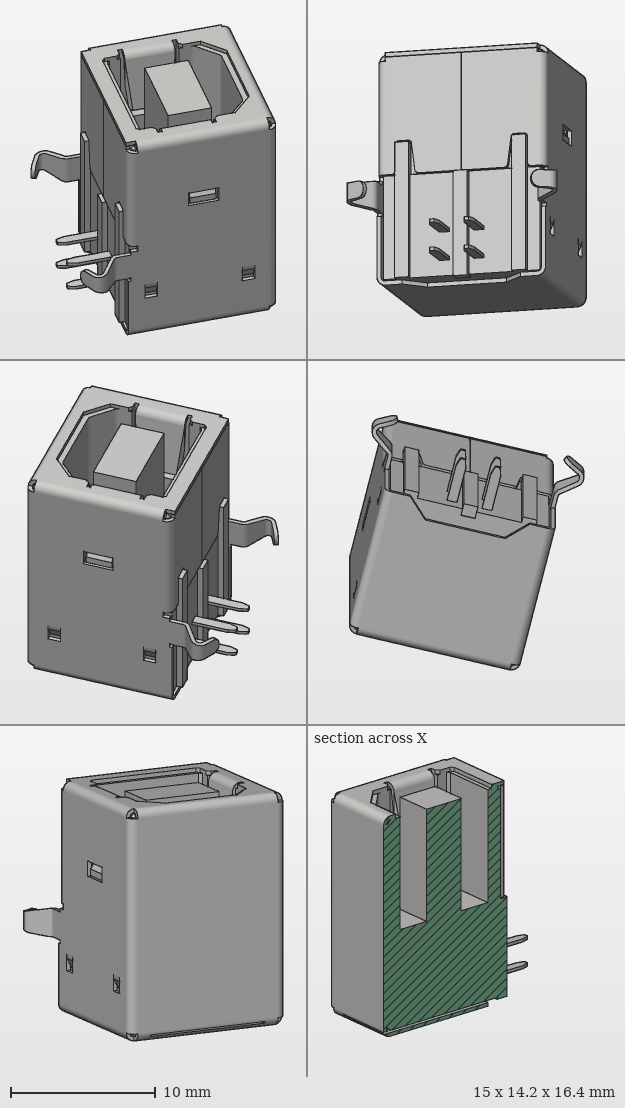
import cadquery as cq
import math


shell_width = 12.1
shell_depth = 10.75
shell_height = 16.45
sheet = 0.3
bend_radius = 0.6
half_width = shell_width / 2
inner_half_width = half_width - sheet
inner_top = shell_height - sheet
front_plate_bottom = 7.8
plate_gap = 0.03

rib_notch_top = 10.15
rib_notch_outer = 4.75
rib_notch_inner_top = 3.6
rib_notch_inner_bottom = 3.3
rib_notch_radius = 0.25

opening_half_width = 4.25
opening_front = 1.13
opening_back = 9.67
opening_back_half_width = 2.73
opening_shoulder = 8.22
opening_corner = 0.2
spring_slot_half_width = 4.9
spring_slot_front = 2.47
spring_slot_back = 6.67
spring_slot_chamfer = 0.25

spring_front = 2.78
spring_back = 6.38
spring_bend_x = 4.77
spring_tip_x = 3.6
spring_tip_z = 12.0
spring_tip_inset_y = 0.4

housing_chamfer = 0.3
housing_bottom = 0.43
housing_step_top = 7.75
housing_step_front = 0.15
lower_half_width = 5.63
cavity_floor = housing_step_top
cavity_front = 1.47
cavity_back = 9.25
cavity_shoulder = 7.75
cavity_back_half_width = 2.67
cavity_radius = 0.4
spring_pocket_floor = 11.0
tongue_width = 5.68
tongue_front = 3.8
tongue_back = 6.93
tongue_top = 16.1

rib_width = 1.0
rib_front = -0.27
rib_root = 0.6
outer_rib_x = 4.2
outer_rib_top = 10.0

catch_front = 4.33
catch_back = 6.5
catch_bottom = 10.53
catch_top = 11.6
catch_slope_start = 11.05
catch_rise = 0.15
catch_depth = 0.25
catch_margin = 0.14
catch_clearance = 0.05
snap_bottom = 3.2
snap_top = 4.35
snap_tip_gap = 0.15
snap_inset = 0.4
snap_bend_inset = 0.04
snap_bend_z = 4.05
snap_width = 0.9
snap_centres_y = (1.65, 8.65)

clip_centre_z = 6.14
clip_root_half = 1.0
clip_end_half = 0.69
clip_taper_start = -1.1
clip_taper_end = -2.25
clip_tip_half = 0.6
clip_tip_start = -2.9
clip_tip_radius = 0.55
clip_tip_y = -3.45
clip_reach = 7.5
clip_bend_y = -0.8
clip_out_angle = 54
clip_back_angle = 28
clip_relief_depth = 0.2
clip_relief_height = 0.25
corner_notch_top = front_plate_bottom
corner_notch_depth = 0.68

pin_width = 0.7
pin_thickness = 0.24
pin_pitch_x = 2.48
pin_levels = (1.65, 3.65)
pin_tip_y = -3.0
pin_taper_y = -2.4
pin_bevel_y = -2.85
pin_bevel_half = 0.22
pin_tip_half = 0.15

bottom_notch_front_half = 4.25
bottom_notch_back_half = 2.83
bottom_slit_half = 4.43


def block(x0, x1, y0, y1, z0, z1):
    """Axis-aligned box between two corners."""
    return cq.Workplane("XY").box(x1 - x0, y1 - y0, z1 - z0, centered=False).translate((x0, y0, z0))


def both_sides(solid):
    """The solid together with its mirror image in X = 0."""
    return solid.union(solid.mirror("YZ"))


def rounded_body(inset, front):
    """Shell volume drawn in by `inset`, with bends rounded and its front at Y = `front`."""
    half = half_width - inset
    back = shell_depth - inset
    top = shell_height - inset
    radius = bend_radius - inset
    along_y = block(-half, half, front, back, inset, top).edges("|Y").fillet(radius)
    along_x = block(-half, half, front, back, inset, top).edges("|X and >Y").fillet(radius)
    along_z = block(-half, half, front, back, inset, top).edges("|Z and >Y").fillet(radius)
    return along_y.intersect(along_x).intersect(along_z)


def front_plate():
    """Front plate on the +X side, meeting its mirror image at the centre seam."""
    top = inner_top - plate_gap
    outline = [
        (plate_gap / 2, top),
        (half_width, top),
        (half_width, front_plate_bottom),
        (rib_notch_outer, front_plate_bottom),
        (rib_notch_outer, rib_notch_top),
        (rib_notch_inner_top, rib_notch_top),
        (rib_notch_inner_bottom, front_plate_bottom),
        (plate_gap / 2, front_plate_bottom),
    ]
    plate = cq.Workplane("XZ").polyline(outline).close().extrude(-sheet)
    notch_corners = cq.selectors.BoxSelector(
        (rib_notch_inner_bottom - sheet, -sheet, front_plate_bottom - sheet),
        (rib_notch_outer + sheet, 2 * sheet, rib_notch_top + sheet),
    )
    return plate.edges("|Y").edges(notch_corners).fillet(rib_notch_radius)


def top_opening():
    """Plug opening with the slots at both ends of each contact spring."""
    slot = spring_slot_chamfer
    outline = [
        (0, opening_front),
        (opening_half_width - opening_corner, opening_front),
        (opening_half_width, opening_front + opening_corner),
        (opening_half_width, spring_slot_front - slot),
        (opening_half_width + slot, spring_slot_front),
        (spring_slot_half_width, spring_slot_front),
        (spring_slot_half_width, spring_front),
        (spring_bend_x, spring_front),
        (spring_bend_x, spring_back),
        (spring_slot_half_width, spring_back),
        (spring_slot_half_width, spring_slot_back),
        (opening_half_width + slot, spring_slot_back),
        (opening_half_width, spring_slot_back + slot),
        (opening_half_width, opening_shoulder),
        (opening_back_half_width, opening_back),
        (0, opening_back),
    ]
    half = cq.Workplane("XY").workplane(offset=inner_top).polyline(outline).close().extrude(sheet)
    return both_sides(half)


def corner_reliefs():
    """Cut-outs where three bends would meet, at the top corners and lower back corners."""
    size = bend_radius
    back = (shell_depth - size, shell_depth)
    top = (shell_height - size, shell_height)
    reliefs = block(half_width - size, half_width, *back, *top)
    reliefs = reliefs.union(block(half_width - size, half_width, *back, 0, size))
    reliefs = reliefs.union(block(half_width - size, half_width, 0, corner_notch_depth, *top))
    return both_sides(reliefs)


def clip_reliefs():
    """Notch below the front bend and small reliefs above and below the clip root."""
    clip_top = clip_centre_z + clip_root_half
    clip_bottom = clip_centre_z - clip_root_half
    relief_top = clip_top + clip_relief_height
    side = (inner_half_width, half_width)
    cuts = block(*side, 0, corner_notch_depth, relief_top, corner_notch_top)
    cuts = cuts.union(block(*side, 0, clip_relief_depth, clip_top, relief_top))
    relief_bottom = clip_bottom - clip_relief_height
    cuts = cuts.union(block(*side, 0, clip_relief_depth, relief_bottom, clip_bottom))
    return both_sides(cuts)


def side_windows():
    """Catch window and snap windows through each side wall."""
    side = (inner_half_width, half_width)
    cuts = block(*side, catch_front, catch_back, catch_bottom, catch_top)
    for y in snap_centres_y:
        cuts = cuts.union(block(*side, y - snap_width / 2, y + snap_width / 2, snap_bottom, snap_top))
    return both_sides(cuts)


def snap_tongues():
    """Tongues hanging in the snap windows, leaning in against the housing."""
    tip_z = snap_bottom + snap_tip_gap
    outline = [
        (half_width, snap_top),
        (half_width - snap_bend_inset, snap_bend_z),
        (half_width - snap_inset, tip_z),
        (inner_half_width - snap_inset, tip_z),
        (inner_half_width - snap_bend_inset, snap_bend_z),
        (inner_half_width, snap_top),
    ]
    tongues = cq.Workplane("XY")
    for y in snap_centres_y:
        tongue = cq.Workplane("XZ").polyline(outline).close().extrude(snap_width)
        tongues = tongues.add(tongue.translate((0, y + snap_width / 2, 0)))
    return both_sides(tongues.combine())


def bottom_opening():
    """Tapered notch in the bottom plate and the slit under the housing through the back."""
    notch_depth = bottom_notch_front_half - bottom_notch_back_half
    notch = (
        cq.Workplane("XY")
        .polyline([
            (-bottom_notch_front_half, 0),
            (bottom_notch_front_half, 0),
            (bottom_notch_back_half, notch_depth),
            (-bottom_notch_back_half, notch_depth),
        ])
        .close()
        .extrude(sheet)
    )
    slit = block(
        -bottom_slit_half, bottom_slit_half, shell_depth - bend_radius, shell_depth, sheet, housing_bottom
    )
    return notch.union(slit)


def front_wall():
    """Closed upper front: two plates and the bends that join them to the sides."""
    outside = block(-half_width, half_width, 0, shell_depth, front_plate_bottom, inner_top)
    inside = block(
        -inner_half_width, inner_half_width, sheet, shell_depth, front_plate_bottom, inner_top
    )
    outside = outside.edges("|Z and <Y").fillet(bend_radius)
    inside = inside.edges("|Z and <Y").fillet(bend_radius - sheet)
    flat_half = half_width - bend_radius
    flat = block(-flat_half, flat_half, 0, sheet, front_plate_bottom, inner_top)
    bend_zone = block(-half_width, half_width, 0, bend_radius, front_plate_bottom, inner_top)
    bends = outside.cut(inside).intersect(bend_zone).cut(flat)
    return bends.union(both_sides(front_plate()).intersect(outside))


def shell():
    body = rounded_body(0, 0).cut(rounded_body(sheet, -sheet))
    side_ends = block(inner_half_width, half_width, 0, bend_radius, front_plate_bottom, inner_top)
    body = body.cut(both_sides(side_ends)).union(front_wall())
    body = body.cut(top_opening()).cut(corner_reliefs()).cut(clip_reliefs())
    body = body.cut(side_windows()).cut(bottom_opening())
    return body.union(snap_tongues())


def contact_springs():
    """Springs rolled down from the top plate and leaning in towards the plug, narrowed at the tip."""
    bend_end_x = spring_bend_x - bend_radius
    bend_end_z = shell_height - bend_radius
    mid = bend_radius * math.sqrt(0.5)
    inner_mid = (bend_radius - sheet) * math.sqrt(0.5)
    profile = (
        cq.Workplane("XZ")
        .moveTo(spring_bend_x, shell_height)
        .threePointArc((spring_bend_x - mid, bend_end_z + mid), (bend_end_x, bend_end_z))
        .lineTo(spring_tip_x, spring_tip_z)
        .lineTo(spring_tip_x + sheet, spring_tip_z)
        .lineTo(bend_end_x + sheet, bend_end_z)
        .threePointArc((spring_bend_x - inner_mid, bend_end_z + inner_mid), (spring_bend_x, inner_top))
        .close()
        .extrude(-(spring_back - spring_front))
        .translate((0, spring_front, 0))
    )
    blank = (
        cq.Workplane("XY")
        .polyline([
            (spring_bend_x, spring_front),
            (bend_end_x, spring_front),
            (spring_tip_x, spring_front + spring_tip_inset_y),
            (spring_tip_x, spring_back - spring_tip_inset_y),
            (bend_end_x, spring_back),
            (spring_bend_x, spring_back),
        ])
        .close()
        .extrude(shell_height)
    )
    return both_sides(profile.intersect(blank))


def plug_cavity():
    outline = [
        (0, cavity_front),
        (opening_half_width - opening_corner, cavity_front),
        (opening_half_width, cavity_front + opening_corner),
        (opening_half_width, cavity_shoulder),
        (cavity_back_half_width, cavity_back),
        (0, cavity_back),
    ]
    height = inner_top - cavity_floor
    half = cq.Workplane("XY").workplane(offset=cavity_floor).polyline(outline).close().extrude(height)
    back_corners = cq.selectors.BoxSelector(
        (opening_corner, spring_slot_back, cavity_floor), (half_width, cavity_back + sheet, inner_top)
    )
    cavity = both_sides(half.edges("|Z").edges(back_corners).fillet(cavity_radius))
    pocket = block(
        -spring_slot_half_width, spring_slot_half_width, spring_slot_front, spring_slot_back,
        spring_pocket_floor, inner_top,
    )
    return cavity.union(pocket)


def catch_recesses():
    """Recesses in the housing behind the catch windows, making room for the catch slopes."""
    return both_sides(
        block(
            inner_half_width - catch_depth, inner_half_width,
            catch_front + catch_margin, catch_back - catch_margin, catch_slope_start, catch_top,
        )
    )


def catches():
    """Blocks standing out into the catch windows, with a slope running inwards to the top."""
    face_x = inner_half_width + catch_rise
    root_x = inner_half_width - catch_depth
    outline = [
        (root_x, catch_bottom + catch_clearance),
        (face_x, catch_bottom + catch_clearance),
        (face_x, catch_slope_start),
        (root_x, catch_top),
    ]
    length = catch_back - catch_front - 2 * catch_margin
    catch = cq.Workplane("XZ").polyline(outline).close().extrude(-length)
    return both_sides(catch.translate((0, catch_front + catch_margin, 0)))


def housing():
    inner_back = shell_depth - sheet
    upper = block(
        -inner_half_width, inner_half_width, sheet, inner_back, housing_step_top, inner_top
    )
    upper = upper.edges("|Z or >Z").chamfer(housing_chamfer)
    lower = block(
        -lower_half_width, lower_half_width, housing_step_front, inner_back, housing_bottom, housing_step_top
    )
    lower = lower.edges("(|Z or <Z) and >Y").chamfer(housing_chamfer)
    tongue = block(
        -tongue_width / 2, tongue_width / 2, tongue_front, tongue_back, cavity_floor, tongue_top
    )
    return upper.union(lower).cut(plug_cavity()).cut(catch_recesses()).union(catches()).union(tongue)


def ribs():
    half = rib_width / 2
    bars = block(-half, half, rib_front, rib_root, sheet, housing_step_top)
    for x in (-outer_rib_x, outer_rib_x):
        bars = bars.union(block(x - half, x + half, rib_front, rib_root, housing_bottom, outer_rib_top))
    return bars


def board_clips():
    """Clips bent out and back in below the shell, narrowing to a rounded tip."""
    radius = bend_radius - sheet / 2
    out_sin = math.sin(math.radians(clip_out_angle))
    out_cos = math.cos(math.radians(clip_out_angle))
    back_sin = math.sin(math.radians(clip_back_angle))
    back_cos = math.cos(math.radians(clip_back_angle))
    half_sin = math.sin(math.radians(clip_out_angle / 2))
    half_cos = math.cos(math.radians(clip_out_angle / 2))

    strip_x = half_width - sheet / 2
    first_x = strip_x + radius
    second_x = clip_reach - bend_radius
    leg_length = (second_x - first_x + 2 * radius * out_cos) / out_sin
    second_y = clip_bend_y - 2 * radius * out_sin - leg_length * out_cos
    return_length = (second_y - bend_radius * back_cos - clip_tip_y) / back_sin
    return_x = second_x + radius * back_sin
    return_y = second_y - radius * back_cos

    path = (
        cq.Workplane("XY")
        .workplane(offset=clip_centre_z)
        .moveTo(strip_x, 0)
        .lineTo(strip_x, clip_bend_y)
        .threePointArc(
            (first_x - radius * half_cos, clip_bend_y - radius * half_sin),
            (first_x - radius * out_cos, clip_bend_y - radius * out_sin),
        )
        .lineTo(second_x + radius * out_cos, second_y + radius * out_sin)
        .threePointArc((second_x + radius, second_y), (return_x, return_y))
        .lineTo(return_x - return_length * back_cos, return_y - return_length * back_sin)
    )
    strip = (
        cq.Workplane("XZ", origin=(strip_x, 0, clip_centre_z))
        .rect(sheet, 2 * clip_root_half)
        .sweep(path)
    )
    blank = (
        cq.Workplane("YZ", origin=(0, 0, clip_centre_z))
        .moveTo(0, clip_root_half)
        .lineTo(clip_taper_start, clip_root_half)
        .lineTo(clip_taper_end, clip_end_half)
        .lineTo(clip_tip_start, clip_tip_half)
        .lineTo(clip_tip_y, clip_tip_half)
        .lineTo(clip_tip_y, -clip_tip_half)
        .lineTo(clip_tip_start, -clip_tip_half)
        .lineTo(clip_taper_end, -clip_end_half)
        .lineTo(clip_taper_start, -clip_root_half)
        .lineTo(0, -clip_root_half)
        .close()
        .extrude(shell_width)
    )
    clip = strip.intersect(blank)
    tip_corners = cq.selectors.ParallelDirSelector(cq.Vector(back_sin, -back_cos, 0))
    return both_sides(clip.edges(tip_corners).fillet(clip_tip_radius))


def solder_pins():
    half = pin_width / 2
    outline = [
        (-half, cavity_front),
        (-half, pin_taper_y),
        (-pin_bevel_half, pin_bevel_y),
        (-pin_tip_half, pin_tip_y),
        (pin_tip_half, pin_tip_y),
        (pin_bevel_half, pin_bevel_y),
        (half, pin_taper_y),
        (half, cavity_front),
    ]
    pins = cq.Workplane("XY")
    for x in (-pin_pitch_x / 2, pin_pitch_x / 2):
        for z in pin_levels:
            pin = cq.Workplane("XY").polyline(outline).close().extrude(pin_thickness)
            pins = pins.add(pin.translate((x, 0, z - pin_thickness / 2)))
    return pins.combine()


result = (
    shell()
    .union(contact_springs())
    .union(housing())
    .union(ribs())
    .union(board_clips())
    .union(solder_pins())
)